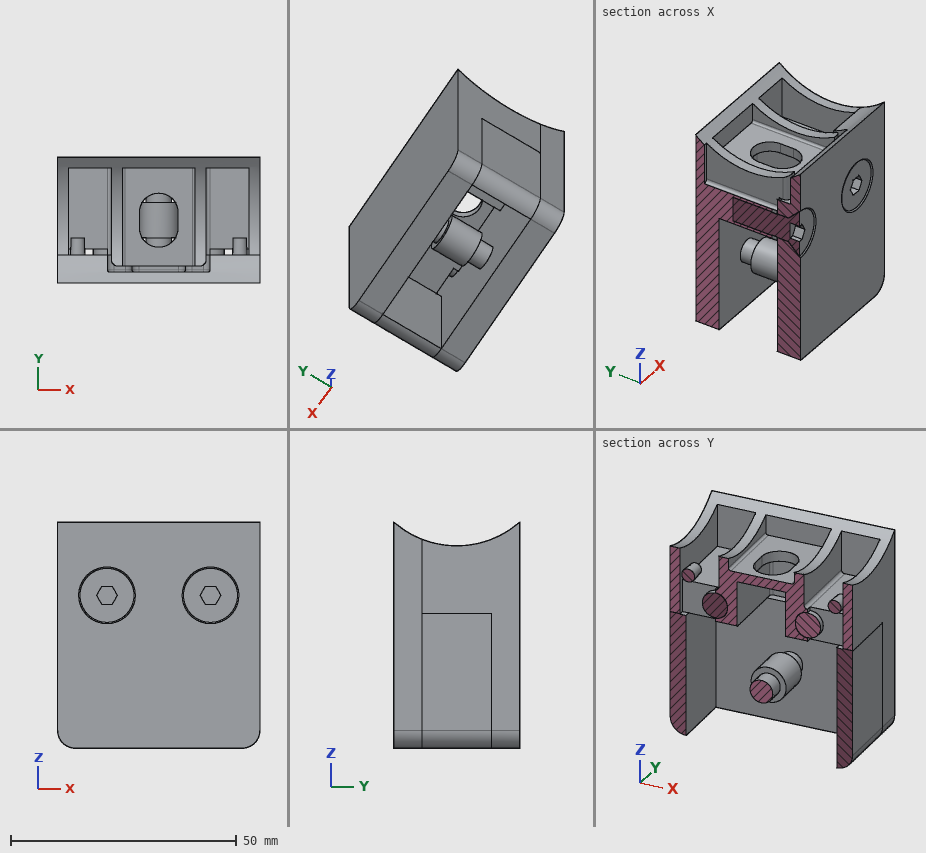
import cadquery as cq
import math


WIDTH = 45.0
THICKNESS = 28.0
SADDLE_LOW_Z = 45.0
TUBE_RADIUS = 21.2
BOTTOM_CORNER_RADIUS = 4.0
half_width = WIDTH / 2
front_y = -THICKNESS / 2
back_y = THICKNESS / 2
tube_center_z = SADDLE_LOW_Z + TUBE_RADIUS
top_z = tube_center_z - math.sqrt(TUBE_RADIUS**2 - back_y**2)

COVER_THICKNESS = 6.3
SLOT_TOP_Z = 30.0
seam_y = front_y + COVER_THICKNESS
slot_back_y = back_y - COVER_THICKNESS

WALL = 2.5
BACK_RIM = 2.4
SIDE_FLOOR_Z = 38.0
CENTER_FLOOR_Z = 43.5
RIB_OUTER_X = 10.55
OUTER_RIB_FILLET = 0.8
INNER_RIB_FILLET = 0.6
FLOOR_SETBACK = 1.3
rib_inner_x = RIB_OUTER_X - WALL
pocket_outer_x = half_width - WALL
pocket_back_y = back_y - BACK_RIM
block_front_y = seam_y + FLOOR_SETBACK

TONGUE_LENGTH = 2.5
TONGUE_CORNER_RADIUS = 1.5
tongue_front_y = seam_y - TONGUE_LENGTH
tongue_bottom_z = CENTER_FLOOR_Z - WALL

DRAIN_LENGTH = 12.0
DRAIN_WIDTH = 8.6
HOLLOW_HALF_WIDTH = 5.9
HOLLOW_BACK_Y = 9.6
HOLLOW_CORNER_RADIUS = 0.6

RECESS_HALF_WIDTH = 11.4
RECESS_DEPTH = 3.8
RECESS_FILLET = 1.5
RECESS_BACK_FILLET = 0.4
RECESS_BOTTOM_CLEARANCE = 1.0
STEP_HALF_WIDTH = 5.9
STEP_DEPTH = 3.1
recess_floor_z = tongue_bottom_z - RECESS_BOTTOM_CLEARANCE
recess_step_floor_z = recess_floor_z - STEP_DEPTH

PEG_X = 18.0
PEG_Z = 40.0
PEG_ROOT_RADIUS = 1.65
PEG_TIP_RADIUS = 1.45
PEG_LENGTH = 3.8

SCREW_X = 11.5
SCREW_Z = 34.0
SCREW_RADIUS = 3.1
SINK_RADIUS = 6.3
HEAD_SINK_DEPTH = 0.3
SCREW_TIP_Y = 4.0
HEX_ACROSS_FLATS = 4.0
HEX_DEPTH = 2.5
head_y = front_y + HEAD_SINK_DEPTH
head_radius = SINK_RADIUS - HEAD_SINK_DEPTH

FILLER_THICKNESS = 4.0

PIN_RADIUS = 2.85
PIN_Z = 15.0
PIN_SEAT_DEPTH = 4.0
SLEEVE_RADIUS = 4.3
SLEEVE_LENGTH = 7.9
pin_start_y = seam_y - PIN_SEAT_DEPTH
pin_end_y = slot_back_y + PIN_SEAT_DEPTH


def box(x0, x1, y0, y1, z0, z1):
    """Box given by its two limits along each axis."""
    return cq.Workplane("XY").box(x1 - x0, y1 - y0, z1 - z0, centered=False).translate((x0, y0, z0))


def rod(x, z, radius, y0, y1):
    """Cylinder along Y from y0 to y1."""
    return cq.Workplane(cq.Solid.makeCylinder(radius, y1 - y0, cq.Vector(x, y0, z), cq.Vector(0, 1, 0)))


def cone(x, z, radius, end_radius, y0, y1):
    """Cone along Y whose radius goes from radius at y0 to end_radius at y1."""
    return cq.Workplane(
        cq.Solid.makeCone(radius, end_radius, y1 - y0, cq.Vector(x, y0, z), cq.Vector(0, 1, 0))
    )


def clamp_slab(y0, y1):
    """Slice of the whole clamp outline: rounded bottom corners and the tube saddle on top."""
    slab = box(-half_width, half_width, y0, y1, 0, top_z)
    slab = slab.edges("|Y and <Z").fillet(BOTTOM_CORNER_RADIUS)
    tube = cq.Workplane("YZ").center(0, tube_center_z).circle(TUBE_RADIUS).extrude(half_width, both=True)
    return slab.cut(tube)


def side_pocket(side):
    """Open pocket between an end wall and a rib, open to the cover at the front."""
    pocket = box(RIB_OUTER_X, pocket_outer_x, seam_y, pocket_back_y, SIDE_FLOOR_Z, top_z)
    pocket = pocket.edges("|Y and <Z and <X").fillet(OUTER_RIB_FILLET)
    return pocket if side > 0 else pocket.mirror("YZ")


def make_base():
    body = clamp_slab(seam_y, back_y)

    body = body.cut(box(-half_width, half_width, seam_y, slot_back_y, 0, SLOT_TOP_Z))
    gap_inner_x = RIB_OUTER_X + OUTER_RIB_FILLET
    gap = box(gap_inner_x, pocket_outer_x, seam_y, block_front_y, SLOT_TOP_Z, SIDE_FLOOR_Z)
    body = body.cut(gap).cut(gap.mirror("YZ"))

    tongue = clamp_slab(tongue_front_y, seam_y).intersect(
        box(-RIB_OUTER_X, RIB_OUTER_X, tongue_front_y, seam_y, tongue_bottom_z, top_z)
        .edges("|Z and <Y").fillet(TONGUE_CORNER_RADIUS)
    )
    body = body.union(tongue)

    for side in (-1, 1):
        body = body.cut(side_pocket(side))
    center_pocket = box(-rib_inner_x, rib_inner_x, tongue_front_y, pocket_back_y, CENTER_FLOOR_Z, top_z)
    body = body.cut(center_pocket.edges("|Y and <Z").fillet(INNER_RIB_FILLET))

    drain = cq.Workplane("XY").workplane(offset=tongue_bottom_z).slot2D(DRAIN_LENGTH, DRAIN_WIDTH, 90)
    body = body.cut(drain.extrude(WALL))
    hollow = box(
        -HOLLOW_HALF_WIDTH, HOLLOW_HALF_WIDTH, seam_y, HOLLOW_BACK_Y, SLOT_TOP_Z, tongue_bottom_z
    )
    body = body.cut(hollow.edges("|Z and >Y").fillet(HOLLOW_CORNER_RADIUS))

    for side in (-1, 1):
        body = body.cut(rod(side * SCREW_X, SCREW_Z, SCREW_RADIUS, seam_y, SCREW_TIP_Y))
    return body.cut(rod(0, PIN_Z, PIN_RADIUS, slot_back_y, pin_end_y))


def cover_recess():
    """Stepped recess: wide around the tongue, narrower below between the screws."""
    recess_y = seam_y - RECESS_DEPTH
    wide = box(-RECESS_HALF_WIDTH, RECESS_HALF_WIDTH, recess_y, seam_y, recess_floor_z, top_z)
    step = box(-STEP_HALF_WIDTH, STEP_HALF_WIDTH, recess_y, seam_y, recess_step_floor_z, recess_floor_z)
    recess = wide.union(step)
    profile_corners = recess.edges("|Y").edges("not >Z")
    recess = profile_corners.fillet(RECESS_FILLET)
    return recess.faces("<Y").edges("not >Z").fillet(RECESS_BACK_FILLET)


def make_cover():
    sink_end_y = front_y + SINK_RADIUS - SCREW_RADIUS
    body = clamp_slab(front_y, seam_y).cut(cover_recess())
    for side in (-1, 1):
        peg = cone(side * PEG_X, PEG_Z, PEG_ROOT_RADIUS, PEG_TIP_RADIUS, seam_y, seam_y + PEG_LENGTH)
        body = body.union(peg)
        body = body.cut(rod(side * SCREW_X, SCREW_Z, SCREW_RADIUS, front_y, seam_y))
        body = body.cut(cone(side * SCREW_X, SCREW_Z, SINK_RADIUS, SCREW_RADIUS, front_y, sink_end_y))
    return body.cut(rod(0, PIN_Z, PIN_RADIUS, pin_start_y, seam_y))


def make_screw(side):
    """Countersunk screw with a hexagon socket."""
    x = side * SCREW_X
    head_end_y = head_y + head_radius - SCREW_RADIUS
    screw = cone(x, SCREW_Z, head_radius, SCREW_RADIUS, head_y, head_end_y)
    screw = screw.union(rod(x, SCREW_Z, SCREW_RADIUS, head_end_y, SCREW_TIP_Y))
    hex_corner_diameter = HEX_ACROSS_FLATS / math.cos(math.pi / 6)
    socket = cq.Workplane("XZ", origin=(x, head_y, SCREW_Z)).polygon(6, hex_corner_diameter)
    return screw.cut(socket.extrude(-HEX_DEPTH))


def make_side_filler(side):
    """Plate closing one end of the glass slot, flush with the clamp outline."""
    filler = clamp_slab(seam_y, slot_back_y).intersect(
        box(half_width - FILLER_THICKNESS, half_width, seam_y, slot_back_y, 0, SLOT_TOP_Z)
    )
    return filler if side > 0 else filler.mirror("YZ")


def make_pin():
    return rod(0, PIN_Z, PIN_RADIUS, pin_start_y, pin_end_y)


def make_sleeve():
    """Spacer sleeve centered on the pin."""
    outside = rod(0, PIN_Z, SLEEVE_RADIUS, -SLEEVE_LENGTH / 2, SLEEVE_LENGTH / 2)
    return outside.cut(make_pin())


base = make_base()
cover = make_cover()
screws = [make_screw(side) for side in (-1, 1)]
side_fillers = [make_side_filler(side) for side in (-1, 1)]
pin = make_pin()
sleeve = make_sleeve()

result = cq.Compound.makeCompound(
    [
        base.val(),
        cover.val(),
        *[screw.val() for screw in screws],
        *[filler.val() for filler in side_fillers],
        pin.val(),
        sleeve.val(),
    ]
)